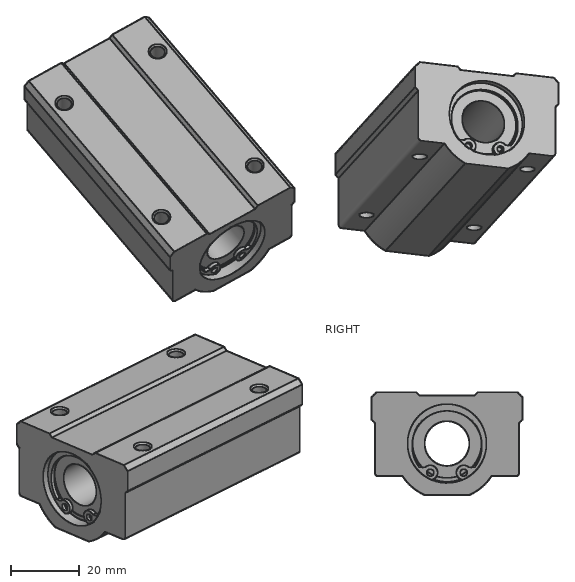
import cadquery as cq
import math

length = 75.0
width = 44.0
height = 30.0
top_chamfer = 1.5
edge_break = 1.0
flange_depth = 9.0
shoulder_height = 5.5
belly_radius = 15.75
belly_width = 26.0
belly_flat_width = 13.3
groove_width = 18.0
groove_depth = 1.0

axis_height = height / 2
bore_diameter = 23.0
shaft_diameter = 13.0
seal_diameter = 20.0
bearing_chamfer = 0.4
seal_recess = 0.15

ring_recess = 2.0
ring_thickness = 1.2
ring_inner_diameter = 20.4
ring_offset = 0.7
ring_end_drop = 7.0
lug_diameter = 4.3
lug_hole_diameter = 2.0
lug_spacing = 9.75
lug_drop = 8.5

hole_diameter = 4.3
hole_mouth_diameter = 5.3
hole_spacing_x = 50.0
hole_spacing_y = 33.0

bearing_start = ring_recess + ring_thickness


def make_housing():
    """Block with side lips, top groove and a round belly around the bore."""
    half_width = width / 2
    body_half_width = half_width - edge_break
    groove_half = groove_width / 2
    lip_bottom = height - flange_depth

    half = (
        cq.Workplane("YZ", origin=(-length / 2, 0, 0))
        .lineTo(belly_flat_width / 2, 0)
        .radiusArc((belly_width / 2, shoulder_height), -belly_radius)
        .lineTo(body_half_width - edge_break, shoulder_height)
        .radiusArc((body_half_width, shoulder_height + edge_break), -edge_break)
        .lineTo(body_half_width, lip_bottom)
        .lineTo(half_width, lip_bottom + edge_break)
        .lineTo(half_width, height - top_chamfer)
        .lineTo(half_width - top_chamfer, height)
        .lineTo(groove_half, height)
        .lineTo(groove_half - groove_depth, height - groove_depth)
        .lineTo(0, height - groove_depth)
        .close()
        .extrude(length)
    )
    return half.union(half.mirror("XZ")).clean()


def disc(diameter, start, depth):
    """Cylinder on the bore axis, starting a given distance in from the -X end."""
    return (
        cq.Workplane("YZ", origin=(-length / 2 + start, 0, axis_height))
        .circle(diameter / 2)
        .extrude(depth)
    )


def make_bearing():
    """Bearing filling the bore between the rings, with recessed end seals."""
    bearing_length = length - 2 * bearing_start
    bearing = disc(bore_diameter, bearing_start, bearing_length).faces("<X or >X").chamfer(bearing_chamfer)
    for start in (bearing_start, length - bearing_start - seal_recess):
        bearing = bearing.cut(disc(seal_diameter, start, seal_recess))
    return bearing.cut(disc(shaft_diameter, 0, length))


def make_ring():
    """Retaining ring at the -X end, open at the bottom between two lugs."""
    plane = cq.Workplane("YZ", origin=(-length / 2 + ring_recess, 0, axis_height))
    opening = plane.center(0, -ring_offset).circle(ring_inner_diameter / 2).extrude(ring_thickness)
    gap = (
        plane.center(0, -ring_end_drop - bore_diameter / 2)
        .rect(bore_diameter, bore_diameter)
        .extrude(ring_thickness)
    )
    lug_centers = [(side * lug_spacing / 2, -lug_drop) for side in (-1, 1)]
    lugs = plane.pushPoints(lug_centers).circle(lug_diameter / 2).extrude(ring_thickness)
    side_length = bore_diameter / 2
    for y, _ in lug_centers:
        side = (
            plane.center(y + math.copysign(side_length / 2, y), -ring_end_drop - side_length / 2)
            .rect(side_length, side_length)
            .extrude(ring_thickness)
        )
        lugs = lugs.union(side)
    ring = disc(bore_diameter, ring_recess, ring_thickness).cut(opening).cut(gap)
    lugs = lugs.intersect(disc(bore_diameter, ring_recess, ring_thickness))
    lug_holes = plane.pushPoints(lug_centers).circle(lug_hole_diameter / 2).extrude(ring_thickness)
    return ring.union(lugs).cut(lug_holes)


def make_mounting_holes():
    """Four vertical through holes with countersunk mouths on the top face."""
    mouth_depth = (hole_mouth_diameter - hole_diameter) / 2
    hole = cq.Workplane("XY").circle(hole_diameter / 2).extrude(height)
    mouth = (
        cq.Workplane("XY", origin=(0, 0, height - mouth_depth))
        .circle(hole_diameter / 2)
        .workplane(offset=mouth_depth)
        .circle(hole_mouth_diameter / 2)
        .loft()
    )
    tool = hole.union(mouth)
    tools = cq.Workplane("XY")
    for x in (-hole_spacing_x / 2, hole_spacing_x / 2):
        for y in (-hole_spacing_y / 2, hole_spacing_y / 2):
            tools = tools.add(tool.translate((x, y, 0)))
    return tools.combine()


end_ring = make_ring()
result = make_housing().cut(disc(bore_diameter, 0, length))
result = result.union(make_bearing())
result = result.union(end_ring).union(end_ring.mirror("YZ"))
result = result.cut(make_mounting_holes())